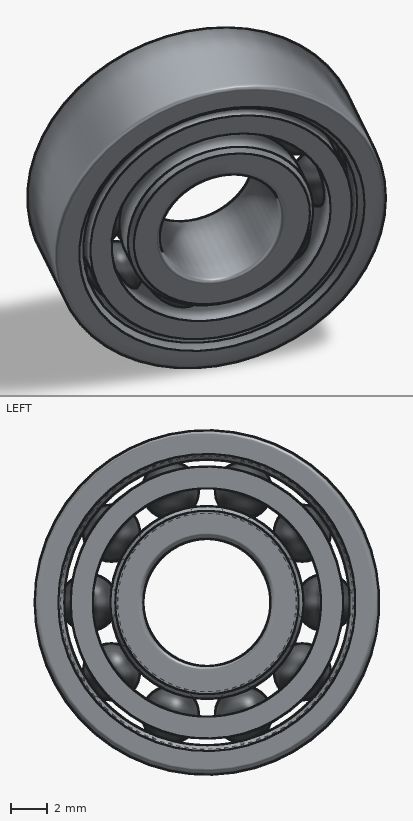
import cadquery as cq
import math

OUTER_RADIUS = 9.5
WIDTH = 6.0
BORE_RADIUS = 3.5
CORNER_RADIUS = 0.3

OUTER_SHOULDER_RADIUS = 7.87
OUTER_SHOULDER_CHAMFER = 0.32
INNER_SHOULDER_RADIUS = 5.32
INNER_SHOULDER_CHAMFER = 0.27

BALL_COUNT = 10
BALL_RADIUS = 1.58
PITCH_RADIUS = 6.5

CAGE_OUTER_RADIUS = 7.5
CAGE_INNER_RADIUS = 6.29
CAGE_WIDTH = 5.7


def tube(outer_radius, inner_radius, width):
    """Plain tube along X, centred on the origin."""
    return (
        cq.Workplane("YZ", origin=(-width / 2, 0, 0))
        .circle(outer_radius)
        .circle(inner_radius)
        .extrude(width)
    )


def end_edges(body, radius):
    """The two circular end edges of a tube that have the given radius."""
    return body.edges("%CIRCLE").filter(lambda edge: math.isclose(edge.radius(), radius))


def raceway():
    """Torus swept by the balls around the X axis."""
    return cq.Workplane(
        cq.Solid.makeTorus(PITCH_RADIUS, BALL_RADIUS, cq.Vector(0, 0, 0), cq.Vector(1, 0, 0))
    )


def make_outer_ring():
    ring = tube(OUTER_RADIUS, OUTER_SHOULDER_RADIUS, WIDTH)
    ring = end_edges(ring, OUTER_RADIUS).fillet(CORNER_RADIUS)
    ring = end_edges(ring, OUTER_SHOULDER_RADIUS).chamfer(OUTER_SHOULDER_CHAMFER)
    return ring.cut(raceway())


def make_inner_ring():
    ring = tube(INNER_SHOULDER_RADIUS, BORE_RADIUS, WIDTH)
    ring = end_edges(ring, BORE_RADIUS).fillet(CORNER_RADIUS)
    ring = end_edges(ring, INNER_SHOULDER_RADIUS).chamfer(INNER_SHOULDER_CHAMFER)
    return ring.cut(raceway())


def make_caged_balls():
    """Cage and its evenly spaced balls, joined into one solid."""
    caged_balls = tube(CAGE_OUTER_RADIUS, CAGE_INNER_RADIUS, CAGE_WIDTH)
    for index in range(BALL_COUNT):
        angle = 2 * math.pi * index / BALL_COUNT
        centre = (0, PITCH_RADIUS * math.cos(angle), PITCH_RADIUS * math.sin(angle))
        caged_balls = caged_balls.union(cq.Workplane("XY").sphere(BALL_RADIUS).translate(centre))
    return caged_balls


outer_ring = make_outer_ring()
inner_ring = make_inner_ring()
caged_balls = make_caged_balls()

result = cq.Compound.makeCompound([outer_ring.val(), inner_ring.val(), caged_balls.val()])